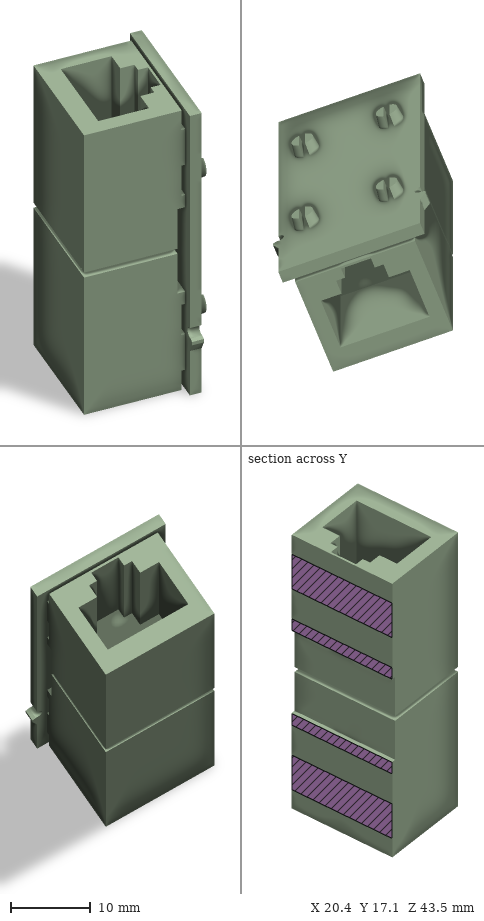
import cadquery as cq


plate_height = 43.5
plate_width = 19.0
plate_thickness = 1.6

overall_width = 20.4
barb_reach = (overall_width - plate_width) / 2
notch_radius = 0.75
ledge_width = 0.2
notch_z = -plate_height / 2 + 9.75
barb_top_z = -plate_height / 2 + 8.8
barb_flat = 0.52
barb_foot_z = -plate_height / 2 + 6.9

jack_width = 16.05
jack_gap = 0.8
jack_length = (plate_height - jack_gap) / 2
jack_front = 13.8
foot_height = 0.5
long_foot_start, long_foot_end = 3.0, 8.55
short_foot_start, short_foot_end = 13.25, 15.2
rear_clearance = 1.05

socket_front_wall = 2.83
socket_width, socket_depth = 11.9, 6.9
step_width, step_depth = 6.35, 1.9
latch_width, latch_depth = 4.0, 1.35
latch_wall = jack_front - foot_height - socket_front_wall - socket_depth - step_depth - latch_depth
socket_length = short_foot_end - latch_wall

overall_depth = 17.1
peg_length = overall_depth - jack_front - plate_thickness
peg_base_diameter = 3.35
peg_tip_diameter = 2.85
peg_slot = 0.8
peg_x = 5.65
peg_z_upper = 10.53
peg_z_lower = -10.7


def box(width, y_start, y_end, z_start, z_end):
    """Block centred on X between the given Y and Z limits."""
    return (
        cq.Workplane("XY", origin=(0, 0, z_start))
        .center(0, (y_start + y_end) / 2)
        .rect(width, y_end - y_start)
        .extrude(z_end - z_start)
    )


def make_plate():
    """Plate whose long edges carry a semicircular notch above a sloped barb."""
    edge = plate_width / 2
    tip = edge + barb_reach
    bottom, top = -plate_height / 2, plate_height / 2

    half = (
        cq.Workplane("XZ")
        .moveTo(0, bottom)
        .lineTo(edge, bottom)
        .lineTo(edge, barb_foot_z)
        .lineTo(tip, barb_top_z - barb_flat)
        .lineTo(tip, barb_top_z)
        .lineTo(edge + ledge_width, notch_z - notch_radius)
        .lineTo(edge, notch_z - notch_radius)
        .threePointArc((edge - notch_radius, notch_z), (edge, notch_z + notch_radius))
        .lineTo(edge, top)
        .lineTo(0, top)
        .close()
        .extrude(-plate_thickness)
    )
    return half.union(half.mirror("YZ"))


def make_upper_jack():
    """Jack with its mouth facing +Z, standing on two feet."""
    mouth = plate_height / 2
    jack = box(jack_width, -jack_front, -rear_clearance, mouth - jack_length, mouth)
    jack = jack.union(box(jack_width, -jack_front, -foot_height, mouth - short_foot_end, mouth))
    for start, end in ((long_foot_start, long_foot_end), (short_foot_start, short_foot_end)):
        jack = jack.union(box(jack_width, -jack_front, 0, mouth - end, mouth - start))

    step_start = -jack_front + socket_front_wall
    for width, depth in (
        (socket_width, socket_depth),
        (step_width, step_depth),
        (latch_width, latch_depth),
    ):
        jack = jack.cut(box(width, step_start, step_start + depth, mouth - socket_length, mouth))
        step_start += depth
    return jack


def make_peg(x, z):
    """Tapered peg on the back of the plate, split by a slot running along Z."""
    cone = (
        cq.Workplane("XZ", origin=(x, plate_thickness, z))
        .circle(peg_base_diameter / 2)
        .workplane(offset=-peg_length)
        .circle(peg_tip_diameter / 2)
        .loft()
    )
    slot = (
        cq.Workplane("XZ", origin=(x, plate_thickness, z))
        .rect(peg_slot, peg_base_diameter)
        .extrude(-peg_length)
    )
    return cone.cut(slot)


upper_jack = make_upper_jack()
result = make_plate().union(upper_jack).union(upper_jack.mirror("XY"))
for peg_side in (-peg_x, peg_x):
    for peg_height in (peg_z_lower, peg_z_upper):
        result = result.union(make_peg(peg_side, peg_height))